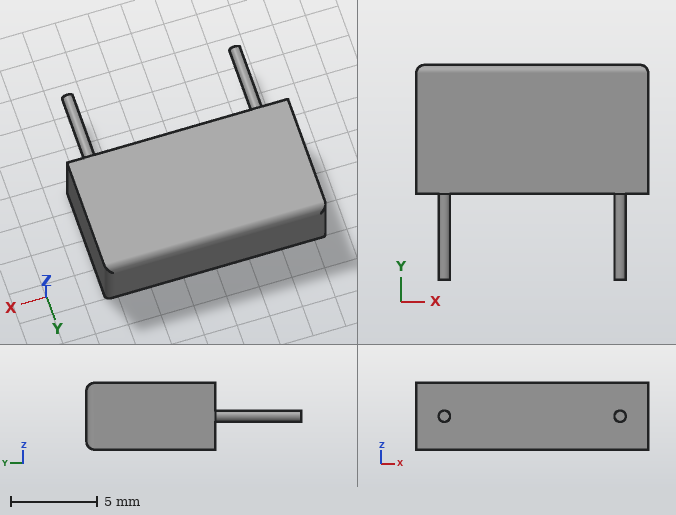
import cadquery as cq

housing_length = 13.5
housing_depth = 7.5
housing_height = 3.9
back_edge_radius = 0.5

lead_diameter = 0.66
lead_length = 5.0
lead_spacing = 10.22


def make_housing():
    """Plain box with all four edges of its back face rounded."""
    box = cq.Workplane("XY").box(
        housing_length, housing_depth, housing_height, centered=(True, False, True)
    )
    return box.faces(">Y").edges().fillet(back_edge_radius)


def make_lead(x_position):
    """Straight round lead that meets the front face of the housing at mid height."""
    return (
        cq.Workplane("XZ")
        .center(x_position, 0)
        .circle(lead_diameter / 2)
        .extrude(lead_length)
    )


housing = make_housing()
leads = [make_lead(side * lead_spacing / 2) for side in (-1, 1)]

result = cq.Compound.makeCompound([housing.val(), *[lead.val() for lead in leads]])